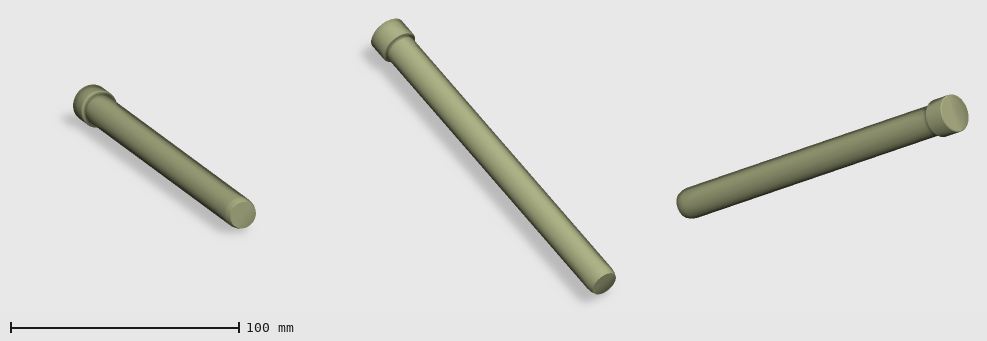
import cadquery as cq
import math

total_length = 170.0
head_diameter = 17.0
head_length = 10.0
face_chamfer = 0.3
head_edge_round = 0.5
shank_diameter = 14.0
groove_length = 1.0
groove_depth = 0.3
tip_length = 4.0
tip_arc_radius = 10.0

head_radius = head_diameter / 2
shank_radius = shank_diameter / 2
groove_radius = shank_radius - groove_depth
groove_end = head_length + groove_length
tip_start = total_length - tip_length


def tip_radius_at(distance):
    """Pin radius at a distance past the start of the tip, on an arc tangent to the shank."""
    drop = tip_arc_radius - math.sqrt(tip_arc_radius**2 - distance**2)
    return shank_radius - drop


profile = (
    cq.Workplane("XY")
    .lineTo(0, head_radius - face_chamfer)
    .lineTo(face_chamfer, head_radius)
    .lineTo(head_length - head_edge_round, head_radius)
    .radiusArc((head_length, head_radius - head_edge_round), head_edge_round)
    .lineTo(head_length, shank_radius)
    .threePointArc((head_length + groove_length / 2, groove_radius), (groove_end, shank_radius))
    .lineTo(tip_start, shank_radius)
    .threePointArc(
        (tip_start + tip_length / 2, tip_radius_at(tip_length / 2)),
        (total_length, tip_radius_at(tip_length)),
    )
    .lineTo(total_length, 0)
    .close()
)

result = profile.revolve(360, (0, 0, 0), (1, 0, 0))